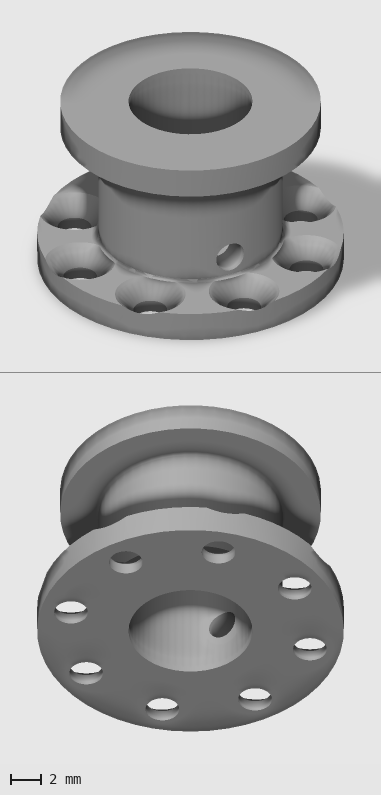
import cadquery as cq
import math

height = 12.1
flange_thickness = 2.0
base_radius = 10.0
top_radius = 8.5
barrel_radius = 6.0
bore_radius = 4.05
root_fillet = 0.18

screw_count = 8
screw_circle_radius = 8.0
screw_hole_radius = 1.1
countersink_radius = 2.3
countersink_angle = 90.0

cross_hole_radius = 1.0
cross_hole_height = 3.5


def spool():
    """Two flanges joined by a barrel, with filleted inner corners."""
    top_underside = height - flange_thickness
    barrel_edge = barrel_radius + root_fillet
    diagonal = root_fillet * (1 - math.sqrt(0.5))
    profile = (
        cq.Workplane("XZ")
        .moveTo(bore_radius, 0)
        .lineTo(base_radius, 0)
        .lineTo(base_radius, flange_thickness)
        .lineTo(barrel_edge, flange_thickness)
        .threePointArc(
            (barrel_radius + diagonal, flange_thickness + diagonal),
            (barrel_radius, flange_thickness + root_fillet),
        )
        .lineTo(barrel_radius, top_underside - root_fillet)
        .threePointArc(
            (barrel_radius + diagonal, top_underside - diagonal),
            (barrel_edge, top_underside),
        )
        .lineTo(top_radius, top_underside)
        .lineTo(top_radius, height)
        .lineTo(bore_radius, height)
        .close()
    )
    return profile.revolve(360, (0, 0, 0), (0, 1, 0))


def screw_cutter():
    """A countersunk hole on the Z axis, ending at the flange top."""
    cone_depth = (countersink_radius - screw_hole_radius) / math.tan(math.radians(countersink_angle / 2))
    profile = (
        cq.Workplane("XZ")
        .lineTo(screw_hole_radius, 0)
        .lineTo(screw_hole_radius, flange_thickness - cone_depth)
        .lineTo(countersink_radius, flange_thickness)
        .lineTo(0, flange_thickness)
        .close()
    )
    return profile.revolve(360, (0, 0, 0), (0, 1, 0))


def cross_hole():
    """A cylinder along X that passes through both barrel walls."""
    return (
        cq.Workplane("YZ")
        .center(0, cross_hole_height)
        .circle(cross_hole_radius)
        .extrude(barrel_radius + root_fillet, both=True)
    )


result = spool().cut(cross_hole())
for index in range(screw_count):
    angle = index * 360 / screw_count
    cutter = screw_cutter().translate((screw_circle_radius, 0, 0))
    result = result.cut(cutter.rotate((0, 0, 0), (0, 0, 1), angle))